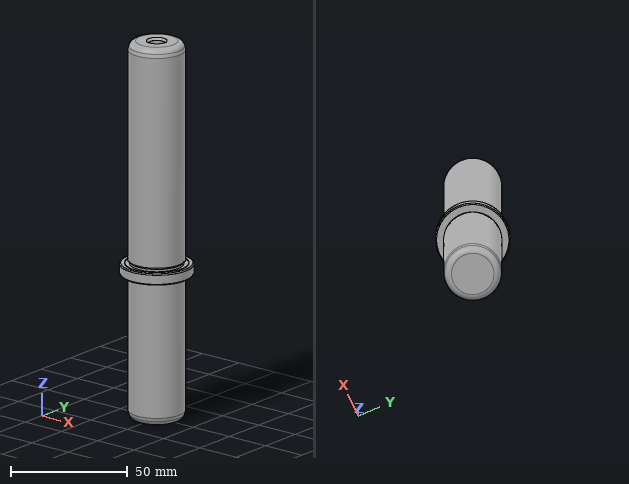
import cadquery as cq
import math

length = 170.0
shaft_radius = 12.5
collar_radius = 16.0

collar_top_depth = 100.0
collar_height = 5.1
collar_chamfer = 0.5

lead_length = 3.9
lead_angle = math.radians(15)
lead_round = 3.0

upper_neck_depth = 0.8
lower_neck_depth = 0.5
upper_neck_height = 1.5
lower_neck_height = 1.0
upper_neck_ramp = 0.8

recess_depth = 0.3
recess_radius = 13.8

hole_radius = 3.4
hole_mouth_radius = 4.5
hole_depth = 17.0
hole_tip_angle = math.radians(59)

top_z = length / 2
bottom_z = -top_z
collar_top_z = top_z - collar_top_depth
collar_bottom_z = collar_top_z - collar_height
upper_neck_radius = shaft_radius - upper_neck_depth
lower_neck_radius = shaft_radius - lower_neck_depth

round_drop = lead_round * (1 - math.sin(lead_angle))
round_end_radius = shaft_radius - (lead_length - round_drop) * math.tan(lead_angle)
round_centre_radius = round_end_radius - lead_round * math.cos(lead_angle)
round_mid_angle = (lead_angle + math.pi / 2) / 2
round_mid_radius = round_centre_radius + lead_round * math.cos(round_mid_angle)
round_mid_drop = lead_round * (1 - math.sin(round_mid_angle))


def make_body():
    """Revolve the half profile, traced from the bottom end to the top."""
    profile = (
        cq.Workplane("XZ")
        .moveTo(0, bottom_z)
        .lineTo(round_centre_radius, bottom_z)
        .threePointArc(
            (round_mid_radius, bottom_z + round_mid_drop),
            (round_end_radius, bottom_z + round_drop),
        )
        .lineTo(shaft_radius, bottom_z + lead_length)
        .lineTo(shaft_radius, collar_bottom_z - lower_neck_height)
        .lineTo(lower_neck_radius, collar_bottom_z - lower_neck_height + lower_neck_depth)
        .lineTo(lower_neck_radius, collar_bottom_z)
        .lineTo(collar_radius - collar_chamfer, collar_bottom_z)
        .lineTo(collar_radius, collar_bottom_z + collar_chamfer)
        .lineTo(collar_radius, collar_top_z - collar_chamfer)
        .lineTo(collar_radius - collar_chamfer, collar_top_z)
        .lineTo(recess_radius, collar_top_z)
        .lineTo(recess_radius, collar_top_z - recess_depth)
        .lineTo(upper_neck_radius, collar_top_z - recess_depth)
        .lineTo(upper_neck_radius, collar_top_z + upper_neck_height - upper_neck_ramp)
        .lineTo(shaft_radius, collar_top_z + upper_neck_height)
        .lineTo(shaft_radius, top_z - lead_length)
        .lineTo(round_end_radius, top_z - round_drop)
        .threePointArc(
            (round_mid_radius, top_z - round_mid_drop),
            (round_centre_radius, top_z),
        )
        .lineTo(0, top_z)
        .close()
    )
    return profile.revolve(360, (0, 0, 0), (0, 1, 0))


def make_centre_hole():
    """Drilled hole with a countersunk mouth and a conical tip."""
    mouth_drop = hole_mouth_radius - hole_radius
    tip_drop = hole_radius / math.tan(hole_tip_angle)
    profile = (
        cq.Workplane("XZ")
        .moveTo(0, top_z)
        .lineTo(hole_mouth_radius, top_z)
        .lineTo(hole_radius, top_z - mouth_drop)
        .lineTo(hole_radius, top_z - hole_depth)
        .lineTo(0, top_z - hole_depth - tip_drop)
        .close()
    )
    return profile.revolve(360, (0, 0, 0), (0, 1, 0))


result = make_body().cut(make_centre_hole())